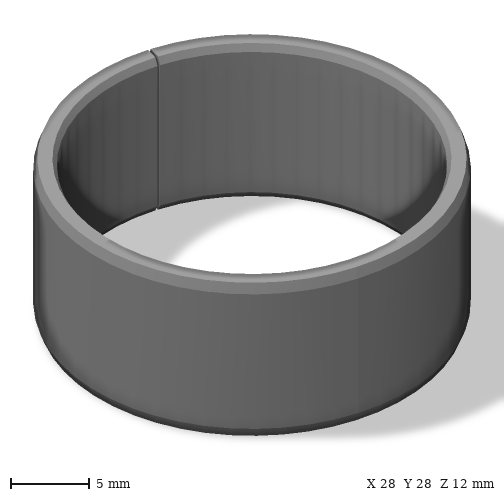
import cadquery as cq
import math

outer_radius = 14.0
inner_radius = 12.5
height = 12.0

outer_bevel_length = 0.73
outer_bevel_angle = 20.0
outer_bevel_depth = outer_bevel_length * math.tan(math.radians(outer_bevel_angle))
inner_bevel_depth = 0.28
inner_bevel_length = 0.5

slit_width = 0.2


def bevelled_ring():
    """Revolve the wall section, bevelled at all four corners, about Z."""
    half_height = height / 2
    section = (
        cq.Workplane("XZ")
        .moveTo(inner_radius, -half_height + inner_bevel_length)
        .lineTo(inner_radius + inner_bevel_depth, -half_height)
        .lineTo(outer_radius - outer_bevel_depth, -half_height)
        .lineTo(outer_radius, -half_height + outer_bevel_length)
        .lineTo(outer_radius, half_height - outer_bevel_length)
        .lineTo(outer_radius - outer_bevel_depth, half_height)
        .lineTo(inner_radius + inner_bevel_depth, half_height)
        .lineTo(inner_radius, half_height - inner_bevel_length)
        .close()
    )
    return section.revolve(360, (0, 0), (0, 1))


def slit():
    """Cutter that opens the wall on the -X side over the full height."""
    cutter = cq.Workplane("XY").box(outer_radius, slit_width, height)
    return cutter.translate((-outer_radius, slit_width / 2, 0))


result = bevelled_ring().cut(slit())